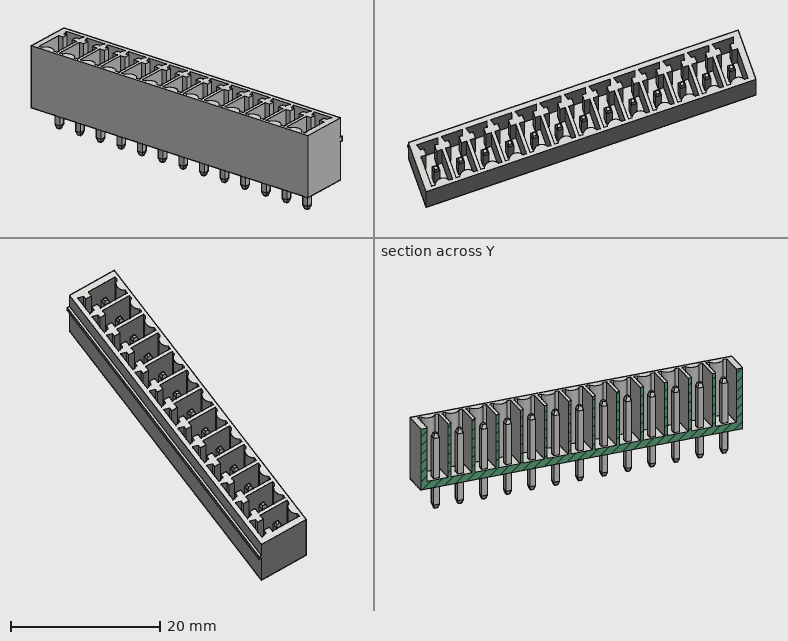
import cadquery as cq

pin_count = 13
pitch = 3.5
pin_width = 0.85
pin_tip_width = 0.45
pin_tip_length = 0.6
pin_tail_length = 3.4
pin_y = 3.0
pin_top_z = 7.8

end_margin = 2.45
body_length = (pin_count - 1) * pitch + 2 * end_margin
body_depth = 7.2
body_height = 9.2

floor_thickness = 1.2
cavity_width = 3.0
cavity_front_y = 0.5
shoulder_y = 4.8
neck_width = 1.5
head_front_y = 5.7
head_front_width = 2.5
cavity_back_y = 6.5

bump_half_width = 1.0
bump_peak_y = 1.1

rib_depth = 0.35
rib_height = 0.7
rib_top_drop = 2.85

pin_positions = [(i - (pin_count - 1) / 2) * pitch for i in range(pin_count)]


def make_housing():
    """Solid block with the coding rib along its back face."""
    body = cq.Workplane("XY").box(body_length, body_depth, body_height, centered=(True, False, False))
    rib = (
        cq.Workplane("XY")
        .box(body_length, rib_depth, rib_height, centered=(True, False, False))
        .translate((0, body_depth, body_height - rib_top_drop - rib_height))
    )
    return body.union(rib)


def make_cavity():
    """One cavity: rectangular chamber, narrow neck and tapered head behind it."""
    side = cavity_width / 2
    neck = neck_width / 2
    head = head_front_width / 2
    return (
        cq.Workplane("XY")
        .workplane(offset=floor_thickness)
        .moveTo(bump_half_width, cavity_front_y)
        .lineTo(side, cavity_front_y)
        .lineTo(side, shoulder_y)
        .lineTo(neck, shoulder_y)
        .lineTo(neck, head_front_y)
        .lineTo(head, head_front_y)
        .lineTo(side, cavity_back_y)
        .lineTo(-side, cavity_back_y)
        .lineTo(-head, head_front_y)
        .lineTo(-neck, head_front_y)
        .lineTo(-neck, shoulder_y)
        .lineTo(-side, shoulder_y)
        .lineTo(-side, cavity_front_y)
        .lineTo(-bump_half_width, cavity_front_y)
        .threePointArc((0, bump_peak_y), (bump_half_width, cavity_front_y))
        .close()
        .extrude(body_height - floor_thickness)
    )


def make_pin():
    """Square pin on the Z axis, tapered at both ends."""
    shank_bottom = pin_tip_length - pin_tail_length
    shank_top = pin_top_z - pin_tip_length
    pin = (
        cq.Workplane("XY")
        .workplane(offset=shank_bottom)
        .rect(pin_width, pin_width)
        .extrude(shank_top - shank_bottom)
    )
    for start_z, length in ((shank_top, pin_tip_length), (shank_bottom, -pin_tip_length)):
        tip = (
            cq.Workplane("XY")
            .workplane(offset=start_z)
            .rect(pin_width, pin_width)
            .workplane(offset=length)
            .rect(pin_tip_width, pin_tip_width)
            .loft()
        )
        pin = pin.union(tip)
    return pin


result = make_housing()
cavity = make_cavity()
pin = make_pin()
for x in pin_positions:
    result = result.cut(cavity.translate((x, 0, 0)))
for x in pin_positions:
    result = result.union(pin.translate((x, pin_y, 0)))